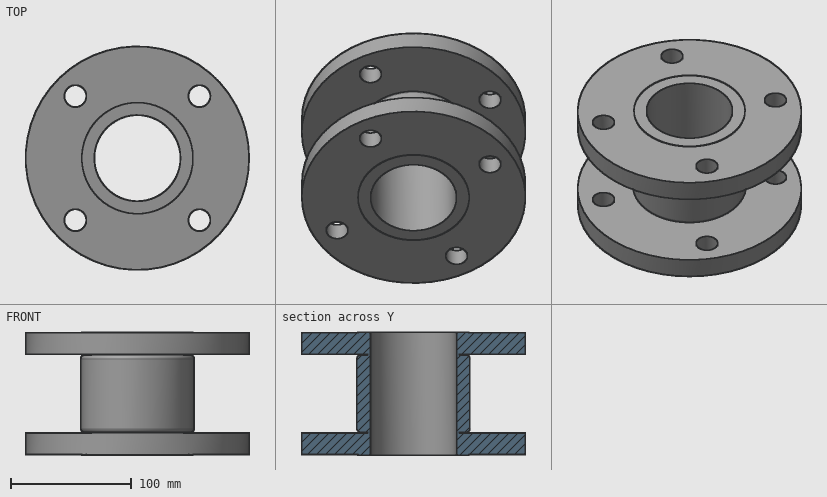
import cadquery as cq

flange_diameter = 185.0
overall_height = 102.0
bore_diameter = 71.0

flange_thickness = 18.0
sealing_face_diameter = 92.0
sealing_face_height = 0.5

bolt_hole_diameter = 18.0
bolt_hole_count = 4
bolt_circle_diameter = 145.0
first_bolt_angle = 45.0

body_diameter = 94.0
body_edge_radius = 3.1
body_flange_gap = 0.5
pipe_diameter = 76.0

flange_outer_z = overall_height / 2 - sealing_face_height
flange_inner_z = flange_outer_z - flange_thickness
body_height = 2 * (flange_inner_z - body_flange_gap)


def cylinder(diameter, height, base_z):
    """Solid cylinder on the Z axis, standing on the height base_z."""
    return cq.Workplane("XY").workplane(offset=base_z).circle(diameter / 2).extrude(height)


def upper_flange():
    """Drilled flange disc with its sealing face on top."""
    bolt_holes = (
        cq.Workplane("XY")
        .workplane(offset=flange_inner_z)
        .polarArray(bolt_circle_diameter / 2, first_bolt_angle, 360, bolt_hole_count)
        .circle(bolt_hole_diameter / 2)
        .extrude(flange_thickness)
    )
    disc = cylinder(flange_diameter, flange_thickness, flange_inner_z)
    sealing_face = cylinder(sealing_face_diameter, sealing_face_height, flange_outer_z)
    return disc.cut(bolt_holes).union(sealing_face)


def rounded_body():
    """Central barrel with both end edges rounded."""
    barrel = cylinder(body_diameter, body_height, -body_height / 2)
    return barrel.edges("%CIRCLE").fillet(body_edge_radius)


flange = upper_flange()
pipe = cylinder(pipe_diameter, overall_height, -overall_height / 2)
bore = cylinder(bore_diameter, overall_height, -overall_height / 2)

result = pipe.union(rounded_body()).union(flange).union(flange.mirror("XY")).cut(bore)